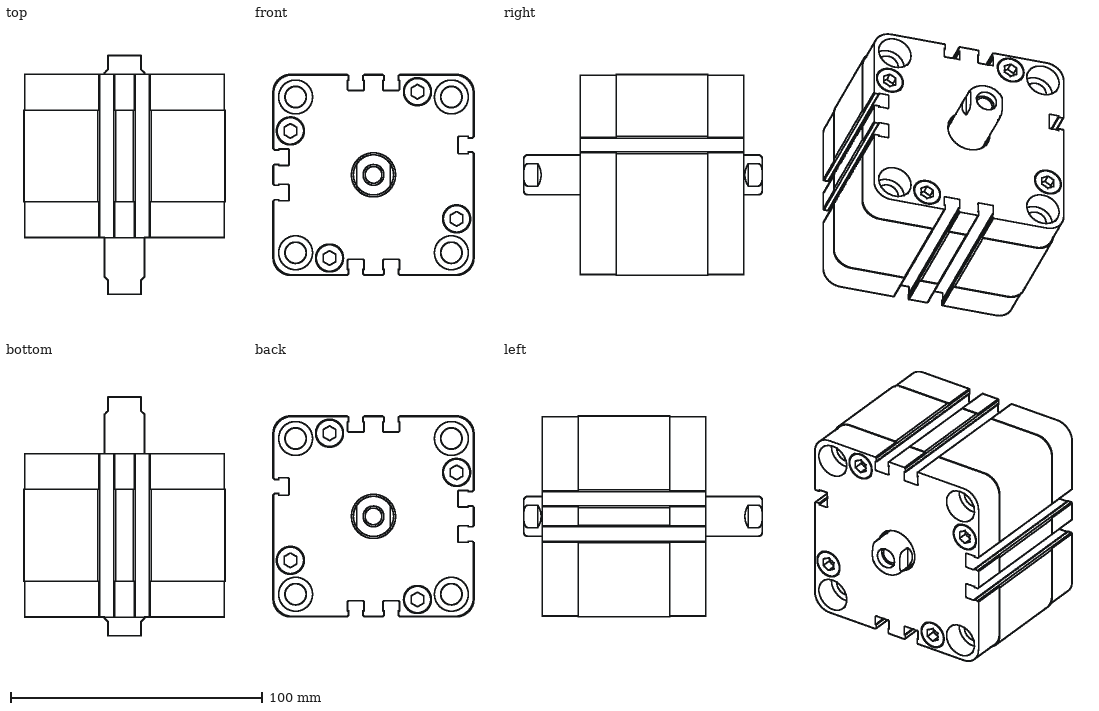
import cadquery as cq
import math


body_length = 65.1
barrel_length = 36.5
barrel_size = 80.0
cap_size = 79.4
corner_radius = 7.2
half_body = body_length / 2

slot_floor = 33.6
slot_neck = 37.6
slot_lip_start = 39.3
slot_floor_radius = 0.4
pair_mouth_width = 5.7
pair_inner_width = 6.5
pair_offset = 7.0
single_mouth_width = 5.5
single_inner_width = 6.8
single_offset = 11.9

mount_offset = 31.0
mount_diameter = 8.4
counterbore_diameter = 13.5
counterbore_depth = 8.7

screw_near_offset = 17.5
screw_far_offset = 33.1
screw_pocket_diameter = 11.1
screw_head_diameter = 10.5
screw_pocket_depth = 6.0
hex_across_flats = 5.0
hex_depth = 4.0

rod_diameter = 16.0
rod_front_length = 22.5
rod_back_length = 7.4
rod_end_radius = 1.8
rod_bore_diameter = 17.6
rod_bore_depth = 2.85
flat_width = 13.2
flat_length = 5.6

entry_diameter = 8.3
entry_depth = 3.0
drill_diameter = 6.65
drill_depth = 15.2
drill_tip_angle = 118.0


def rounded_block(size, length):
    """Square block with rounded long edges, centred on the origin and running along Y."""
    return cq.Workplane("XY").box(size, length, size).edges("|Y").fillet(corner_radius)


def cylinder_inward(diameter, depth, points):
    """Cylinders that start at the front face of the housing and run inward."""
    face = cq.Workplane("XZ", origin=(0, -half_body, 0))
    return face.pushPoints(points).circle(diameter / 2).extrude(-depth)


def with_mirror(shape):
    """The shape together with its mirror image at the other end of the housing."""
    return shape.union(shape.mirror("XZ"))


def top_slot(offset, mouth_width, inner_width):
    """Cutter for an undercut slot in the top side, at the given X offset."""
    top = barrel_size / 2
    plane = cq.Workplane("XZ", origin=(offset, 0, 0))
    inner = (
        plane.center(0, (slot_floor + slot_neck) / 2)
        .rect(inner_width, slot_neck - slot_floor)
        .extrude(half_body, both=True)
        .faces("<Z")
        .edges("|Y")
        .fillet(slot_floor_radius)
    )
    mouth = (
        plane.center(0, (slot_neck + top) / 2)
        .rect(mouth_width, top - slot_neck)
        .extrude(half_body, both=True)
    )
    lip_half_width = mouth_width / 2 + top - slot_lip_start
    lip = (
        plane.polyline([(-lip_half_width, top), (lip_half_width, top), (0, top - lip_half_width)])
        .close()
        .extrude(half_body, both=True)
    )
    return inner.union(mouth).union(lip)


def turned(shape, angle):
    """The shape rotated about the rod axis."""
    return shape.rotate((0, 0, 0), (0, 1, 0), angle)


def make_housing():
    housing = rounded_block(cap_size, body_length).union(rounded_block(barrel_size, barrel_length))
    for angle in (0, 180, -90):
        for offset in (-pair_offset, pair_offset):
            slot = top_slot(offset, pair_mouth_width, pair_inner_width)
            housing = housing.cut(turned(slot, angle))
    single = top_slot(-single_offset, single_mouth_width, single_inner_width)
    return housing.cut(turned(single, 90))


def cut_mounting_holes(housing):
    corners = [(x, z) for x in (-mount_offset, mount_offset) for z in (-mount_offset, mount_offset)]
    through_holes = cylinder_inward(mount_diameter, body_length, corners)
    counterbores = cylinder_inward(counterbore_diameter, counterbore_depth, corners)
    return housing.cut(through_holes).cut(with_mirror(counterbores))


def add_cap_screws(housing):
    near, far = screw_near_offset, screw_far_offset
    points = [(near, far), (far, -near), (-near, -far), (-far, near)]
    pockets = cylinder_inward(screw_pocket_diameter, screw_pocket_depth, points)
    heads = cylinder_inward(screw_head_diameter, screw_pocket_depth, points)
    hex_across_corners = hex_across_flats / math.cos(math.radians(30))
    hex_prism = (
        cq.Workplane("XZ")
        .polygon(6, hex_across_corners)
        .extrude(-hex_depth)
        .rotate((0, 0, 0), (0, 1, 0), 30)
        .translate((0, -half_body, 0))
    )
    for x, z in points:
        heads = heads.cut(hex_prism.translate((x, 0, z)))
    return housing.cut(with_mirror(pockets)).union(with_mirror(heads))


def wrench_flat(end_y, inward):
    """Cutter for the +X wrench flat at a rod end; inward is the Y direction into the rod."""
    flat_x = flat_width / 2
    clear_x = rod_diameter
    flat_end = end_y + inward * flat_length
    ramp_end = flat_end + inward * (clear_x - flat_x)
    return (
        cq.Workplane("XY")
        .polyline([(flat_x, end_y), (clear_x, end_y), (clear_x, ramp_end), (flat_x, flat_end)])
        .close()
        .extrude(rod_diameter, both=True)
    )


def stepped_hole(end_y, inward):
    """Stepped blind hole with a conical bottom, bored along Y from a rod end."""
    drill_radius = drill_diameter / 2
    entry_radius = entry_diameter / 2
    tip_depth = drill_depth + drill_radius / math.tan(math.radians(drill_tip_angle / 2))
    profile = [
        (0, 0),
        (entry_radius, 0),
        (entry_radius, entry_depth),
        (drill_radius, entry_depth),
        (drill_radius, drill_depth),
        (0, tip_depth),
    ]
    points = [(radius, end_y + inward * depth) for radius, depth in profile]
    return cq.Workplane("XY").polyline(points).close().revolve(360, (0, 0, 0), (0, 1, 0))


def make_rod():
    front_y = -half_body - rod_front_length
    back_y = half_body + rod_back_length
    rod = (
        cq.Workplane("XZ", origin=(0, front_y, 0))
        .circle(rod_diameter / 2)
        .extrude(front_y - back_y)
        .edges("%CIRCLE")
        .fillet(rod_end_radius)
    )
    for end_y, inward in ((front_y, 1), (back_y, -1)):
        flat = wrench_flat(end_y, inward)
        rod = rod.cut(flat).cut(flat.mirror("YZ"))
        rod = rod.cut(stepped_hole(end_y, inward))
    return rod


housing = add_cap_screws(cut_mounting_holes(make_housing()))
rod_bores = cylinder_inward(rod_bore_diameter, rod_bore_depth, [(0, 0)])
rod_space = cq.Workplane("XZ").circle(rod_diameter / 2).extrude(half_body, both=True)
result = housing.cut(with_mirror(rod_bores)).cut(rod_space).union(make_rod())